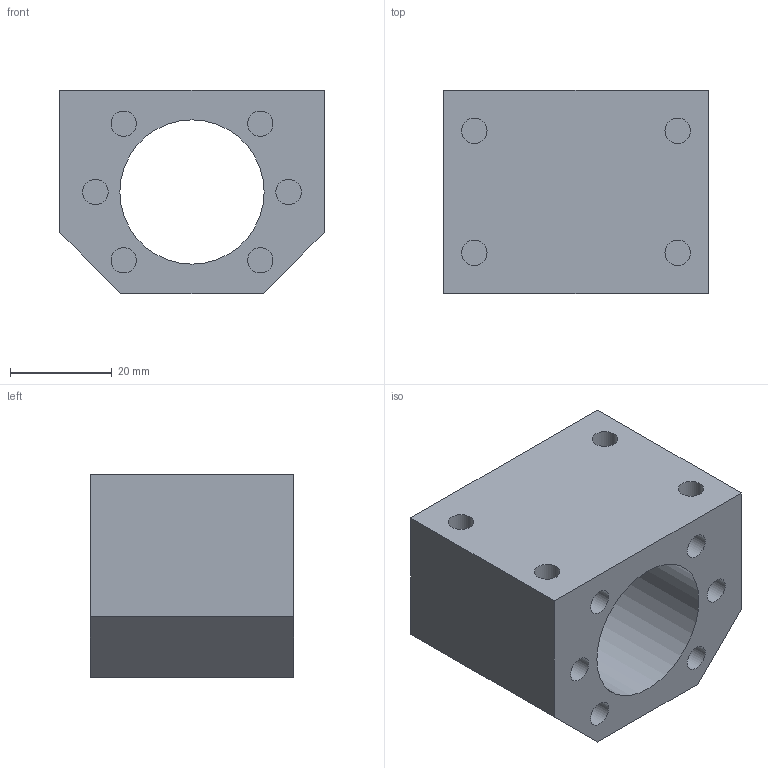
import math

import cadquery as cq

WIDTH = 52.0
LENGTH = 40.0
HEIGHT = 40.0
CHAMFER = 12.0

BORE_DIAMETER = 28.4

FLANGE_HOLE_DIAMETER = 5.0
FLANGE_CIRCLE_RADIUS = 19.0
FLANGE_HOLE_ANGLES = (-45, 0, 45, 135, 180, 225)
FLANGE_HOLE_DEPTH = 12.0

MOUNT_HOLE_DIAMETER = 5.0
MOUNT_SPACING_X = 40.0
MOUNT_SPACING_Y = 24.0
MOUNT_HOLE_DEPTH = 12.0


def make_block():
    """Rectangular block with its two lower long edges chamfered."""
    block = cq.Workplane("XY").box(WIDTH, LENGTH, HEIGHT)
    return block.faces("<Z").edges("|Y").chamfer(CHAMFER)


def make_bore():
    """Cylinder along Y through the whole block."""
    return cq.Workplane("XZ").circle(BORE_DIAMETER / 2).extrude(LENGTH / 2, both=True)


def make_flange_holes():
    """Blind hole cylinders running from the front face toward +Y."""
    centres = [
        (
            FLANGE_CIRCLE_RADIUS * math.cos(math.radians(angle)),
            FLANGE_CIRCLE_RADIUS * math.sin(math.radians(angle)),
        )
        for angle in FLANGE_HOLE_ANGLES
    ]
    front_face = cq.Workplane("XZ", origin=(0, -LENGTH / 2, 0))
    return front_face.pushPoints(centres).circle(FLANGE_HOLE_DIAMETER / 2).extrude(-FLANGE_HOLE_DEPTH)


def make_mount_holes():
    """Blind hole cylinders running down from the top face."""
    top_face = cq.Workplane("XY", origin=(0, 0, HEIGHT / 2))
    centres = top_face.rarray(MOUNT_SPACING_X, MOUNT_SPACING_Y, 2, 2)
    return centres.circle(MOUNT_HOLE_DIAMETER / 2).extrude(-MOUNT_HOLE_DEPTH)


result = make_block().cut(make_bore()).cut(make_flange_holes()).cut(make_mount_holes())